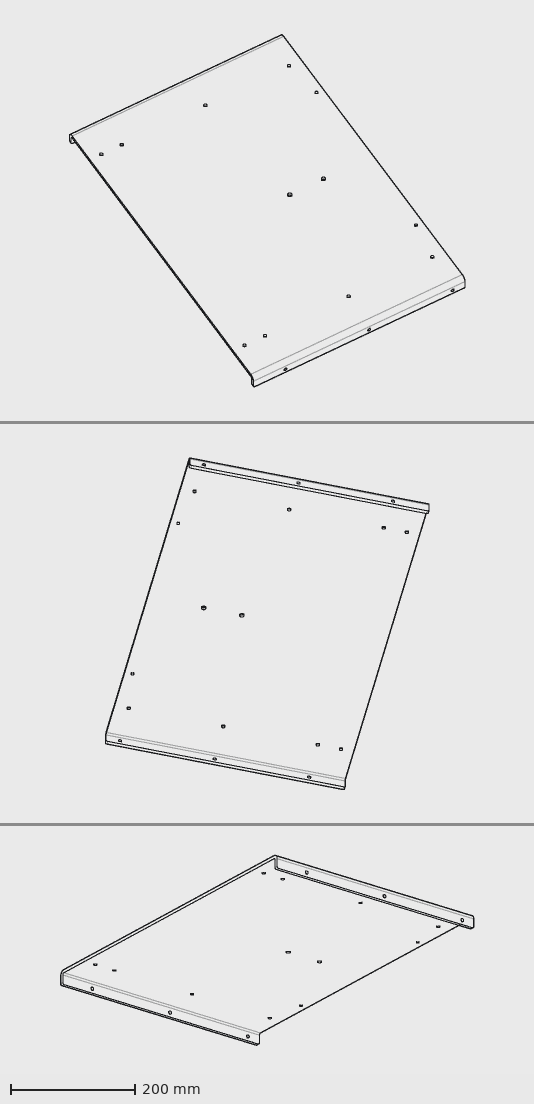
import cadquery as cq

length = 581.0
width = 397.0
height = 25.0
thickness = 6.0
inner_bend_radius = 3.0
outer_bend_radius = inner_bend_radius + thickness
flange_corner_radius = 3.0

back_row_inset = 23.0
row_spacing = 157.0
row_insets = [back_row_inset + row * row_spacing for row in range(3)]
front_row_edge_distance = 21.5

side_hole_x = 226.0
side_hole_diameter = 5.0
back_hole_x = 157.0
back_hole_inset = 13.0
back_hole_diameter = 4.5
center_hole_insets = [93.0, 156.5]
center_hole_diameter = 7.0

flange_hole_height = 8.0
flange_hole_diameter = 5.0

back_y = width / 2


def make_bent_sheet():
    """Channel centered on X and Y, with its flange tips at Z = 0."""
    outer = cq.Workplane("XY").box(length, width, height, centered=(True, True, False))
    outer = outer.edges("|Y and >Z").fillet(outer_bend_radius)
    inner = cq.Workplane("XY").box(
        length - 2 * thickness, width, height - thickness, centered=(True, True, False)
    )
    inner = inner.edges("|Y and >Z").fillet(inner_bend_radius)
    return outer.cut(inner)


def round_flange_corners(sheet):
    """Round the four lower corners of the flanges."""
    corner_edges = sheet.faces("<Z").edges("|X").edges("<Y or >Y")
    return sheet.newObject(corner_edges.vals()).fillet(flange_corner_radius)


def panel_holes(points, diameter):
    """Vertical cutters through the panel."""
    return cq.Workplane("XY").pushPoints(points).circle(diameter / 2).extrude(height)


def flange_holes():
    """Cutters along X, each passing through both flanges."""
    points = [(back_y - inset, flange_hole_height) for inset in row_insets]
    plane = cq.Workplane("YZ").pushPoints(points)
    return plane.circle(flange_hole_diameter / 2).extrude(length / 2, both=True)


side_ys = [back_y - inset for inset in row_insets] + [front_row_edge_distance - back_y]
side_points = [(x, y) for x in (-side_hole_x, side_hole_x) for y in side_ys]
back_points = [(x, back_y - back_hole_inset) for x in (-back_hole_x, back_hole_x)]
center_points = [(0, back_y - inset) for inset in center_hole_insets]

result = round_flange_corners(make_bent_sheet())
result = result.cut(panel_holes(side_points, side_hole_diameter))
result = result.cut(panel_holes(back_points, back_hole_diameter))
result = result.cut(panel_holes(center_points, center_hole_diameter))
result = result.cut(flange_holes())